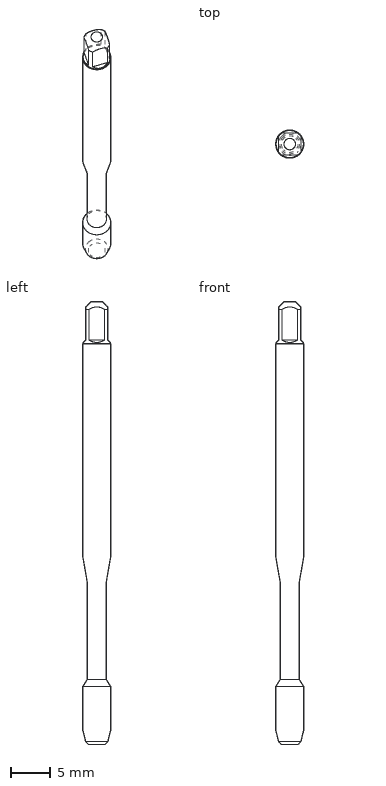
import cadquery as cq
import math


def taper_height(small_dia, large_dia, half_angle):
    """Height of a cone between two diameters; the half angle is in degrees from the axis."""
    return (large_dia - small_dia) / 2 / math.tan(math.radians(half_angle))


shank_dia = 3.58
head_dia = 3.58
neck_dia = 2.47
drive_dia = 3.44
drive_tip_dia = 1.45
head_lead_dia = 2.85
head_tip_dia = 2.1

flat_count = 4
drive_across_flats = 2.8
drive_flat_length = 4.85
drive_length = 5.38

total_length = 56.1
lead_end = 1.85
head_length = 7.34
neck_end = 20.63
shank_end = total_length - drive_length

foot_cone_angle = 32
shank_taper_angle = 10
neck_start = head_length + taper_height(neck_dia, head_dia, foot_cone_angle)
shank_start = neck_end + taper_height(neck_dia, shank_dia, shank_taper_angle)

tip_cone_angle = 45
shoulder_angle = 45
head_tip_angle = 45
tip_cone_height = taper_height(drive_tip_dia, drive_dia, tip_cone_angle)
drive_shoulder_height = taper_height(drive_dia, shank_dia, shoulder_angle)
lead_start = taper_height(head_tip_dia, head_lead_dia, head_tip_angle)


def revolve_profile(stations):
    """Solid of revolution about Z through (diameter, height) stations."""
    bottom = stations[0][1]
    top = stations[-1][1]
    outline = [(0, bottom)]
    outline += [(diameter / 2, height) for diameter, height in stations]
    outline.append((0, top))
    return cq.Workplane("XZ").polyline(outline).close().revolve(360, (0, 0), (0, 1))


def drive_flat_cutter():
    """Block that leaves one flat on the +X side, with a 45 degree run-out at its foot."""
    flat_x = drive_across_flats / 2
    foot = total_length - drive_flat_length
    reach = shank_dia
    outline = [
        (flat_x, total_length),
        (flat_x, foot),
        (flat_x + reach, foot - reach),
        (flat_x + reach, total_length),
    ]
    return cq.Workplane("XZ").polyline(outline).close().extrude(shank_dia, both=True)


head = revolve_profile([
    (head_tip_dia, 0),
    (head_lead_dia, lead_start),
    (head_dia, lead_end),
    (head_dia, head_length),
])

shank = revolve_profile([
    (head_dia, head_length),
    (neck_dia, neck_start),
    (neck_dia, neck_end),
    (shank_dia, shank_start),
    (shank_dia, shank_end),
    (drive_dia, shank_end + drive_shoulder_height),
    (drive_dia, total_length - tip_cone_height),
    (drive_tip_dia, total_length),
])
for flat in range(flat_count):
    angle = flat * 360 / flat_count
    shank = shank.cut(drive_flat_cutter().rotate((0, 0, 0), (0, 0, 1), angle))

result = cq.Compound.makeCompound([head.val(), shank.val()])